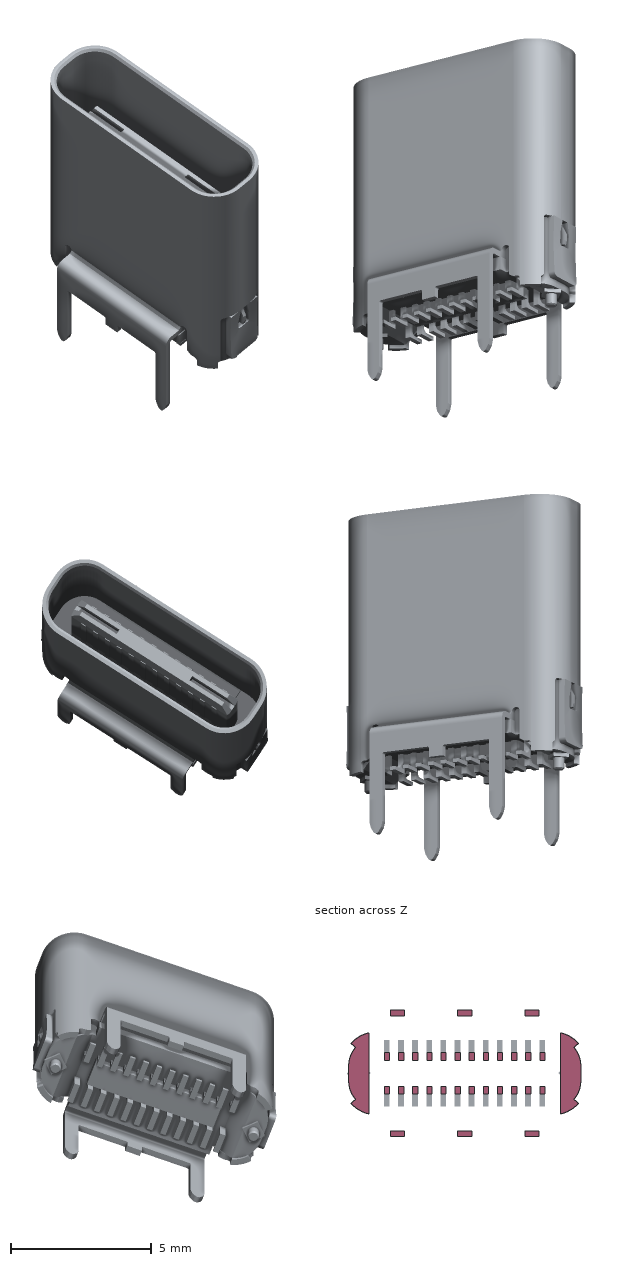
import cadquery as cq
import math


top = 11.94
shell_length = 8.69
shell_depth = 2.96
wall = 0.21
corner_radius = 1.22
rim_chamfer = 0.08
shell_bottom = 2.55
side_bottom = 2.94
inner_length = shell_length - 2 * wall
inner_depth = shell_depth - 2 * wall
inner_radius = corner_radius - wall

foot_inner_x = 3.39
foot_round = 0.12
notch_x = 2.95
notch_chamfer_x = 0.18
notch_chamfer_z = 0.11
relief_top = 4.2

strap_half = 2.64
overall_depth = 4.5
strap_outer_y = overall_depth / 2
strap_top = 3.96
strap_bottom = 2.94
bend_radius = 0.29
strap_root = 0.1
strap_reach = strap_outer_y + wall
leg_width = 0.51
leg_tip_height = 0.43
leg_shoulder_half = 0.2
leg_tip_half = 0.1
leg_tip_rise = 0.05
tab_half = 0.27
strap_fillet = 0.06

window_width = 1.97
window_half = window_width / 2
window_top = 5.24
window_fillet = 0.11
window_flare = 0.078
window_flare_chamfer = 0.07
overall_length = 8.74
flap_width = 1.37
flap_half = flap_width / 2
flap_bottom = 2.95
flap_corner = 0.17
flap_recess = 0.05
latch_hole_bottom = 4.26
latch_hole_half = 0.27
latch_hole_top_half = 0.15
latch_hole_taper_z = 4.72
latch_rib_width = 0.13
latch_rib_bottom = 4.35
latch_rib_top = 4.76
latch_rib_nose_height = 0.15
latch_rib_nose_setback = 0.04
latch_hole_fillet = 0.07

floor_z = 5.73
end_bottom = 2.69
middle_bottom = 3.26
pad_half_x = 2.67
pad_half_y = 1.61
bar_half_x = 2.39
bar_half_y = 0.45
bar_bottom = 2.88
floor_pad_half_x = 2.84
floor_pad_inner_y = 0.62
floor_pad_outer_y = 1.18
floor_pad_height = 0.18
floor_ledge_height = 0.08

post_x = 3.75
post_diameter = 0.4
post_bottom = 2.14
post_chamfer = 0.05
post_base_half = 0.42

tongue_length = 6.66
collar_thickness = 1.04
collar_height = 0.72
collar_corner = 0.35
tongue_thickness = 0.7
tongue_tip = 10.18
tip_chamfer_x = 0.32
tip_chamfer_y = 0.11
tip_chamfer_z = 0.6
groove_inner_x = 1.54
groove_width = 0.18
groove_depth = tip_chamfer_z
groove_floor = tongue_tip - groove_depth

contact_count = 12
contact_pitch = 0.5
contact_width = 0.2
contact_height = 0.02
contact_end_gap = 0.6
tail_inner_y = 0.45
tail_outer_y = 1.18
tail_thickness = 0.13
tail_bend = 0.18


def box(x0, x1, y0, y1, z0, z1):
    return cq.Workplane("XY").box(x1 - x0, y1 - y0, z1 - z0, centered=False).translate((x0, y0, z0))


def rounded_bar(length, depth, radius, z0, z1):
    """Upright bar with rounded vertical corners."""
    bar = cq.Workplane("XY").workplane(offset=z0).rect(length, depth).extrude(z1 - z0)
    return bar.edges("|Z").fillet(radius)


def both_sides(shape, plane):
    """A shape joined with its mirror image about a middle plane."""
    return shape.union(shape.mirror(plane))


def notch_profile():
    """Notch outline: a full-width opening, with a round-topped relief slot at each end of the strap."""
    relief_radius = (notch_x - strap_half) / 2
    relief_mid = notch_x - relief_radius
    relief_spring = relief_top - relief_radius
    round_mid = foot_round * (1 - math.sqrt(0.5))
    half = (
        cq.Workplane("XZ")
        .moveTo(0, shell_bottom)
        .lineTo(foot_inner_x, shell_bottom)
        .lineTo(foot_inner_x, side_bottom - foot_round)
        .threePointArc(
            (foot_inner_x - round_mid, side_bottom - round_mid),
            (foot_inner_x - foot_round, side_bottom),
        )
        .lineTo(notch_x + notch_chamfer_x, side_bottom)
        .lineTo(notch_x, side_bottom + notch_chamfer_z)
        .lineTo(notch_x, relief_spring)
        .threePointArc((relief_mid, relief_top), (strap_half, relief_spring))
        .lineTo(strap_half, strap_top - wall)
        .lineTo(0, strap_top - wall)
        .close()
        .extrude(shell_depth / 2, both=True)
    )
    return both_sides(half, "YZ")


def window_wedge(half_width, z_top):
    """Wedge from the arc centres of the -X end, so that its sides cross the shell wall squarely."""
    centre_x = shell_length / 2 - corner_radius
    centre_y = shell_depth / 2 - corner_radius
    rise = half_width - centre_y
    run = math.sqrt(corner_radius**2 - rise**2)
    far_x = centre_x + 2 * run
    far_y = centre_y + 2 * rise
    return (
        cq.Workplane("XY")
        .workplane(offset=shell_bottom)
        .polyline([(-centre_x, -centre_y), (-far_x, -far_y), (-far_x, far_y), (-centre_x, centre_y)])
        .close()
        .extrude(z_top - shell_bottom)
    )


def side_window():
    """Opening through the -X end of the shell, wider at its lower edge."""
    opening = window_wedge(window_half, window_top)
    opening = opening.faces(">Z").edges("not(|Y)").fillet(window_fillet)
    flare = window_wedge(window_half + window_flare, side_bottom)
    return opening.union(flare.faces(">Z").edges("not(|Y)").chamfer(window_flare_chamfer))


def make_shell():
    outside = rounded_bar(shell_length, shell_depth, corner_radius, shell_bottom, top)
    inside = rounded_bar(inner_length, inner_depth, inner_radius, shell_bottom, top)
    tube = outside.cut(inside)
    mouth_edges = tube.faces(">Z").wires(cq.selectors.AreaNthSelector(0))
    tube = mouth_edges.chamfer(rim_chamfer)
    return tube.cut(notch_profile()).cut(both_sides(side_window(), "YZ"))


def make_flap():
    """Spring flap of the -X window: a slightly bowed plate with a latch hole."""
    lip_x = overall_length / 2
    plate_x = lip_x - flap_recess
    plate = (
        cq.Workplane("XZ")
        .moveTo(-plate_x + wall, window_top)
        .lineTo(-shell_length / 2, window_top)
        .threePointArc((-plate_x, (window_top + flap_bottom) / 2), (-lip_x, flap_bottom))
        .lineTo(-plate_x + wall, flap_bottom)
        .close()
        .extrude(flap_half, both=True)
    )
    plate = plate.edges("|X and <Z").fillet(flap_corner)
    latch_hole = (
        cq.Workplane("YZ")
        .polyline([
            (-latch_hole_half, latch_hole_bottom),
            (latch_hole_half, latch_hole_bottom),
            (latch_hole_half, latch_hole_taper_z),
            (latch_hole_top_half, window_top),
            (-latch_hole_top_half, window_top),
            (-latch_hole_half, latch_hole_taper_z),
        ])
        .close()
        .extrude(-shell_length)
    )
    latch_hole = latch_hole.edges("|X and <Z").fillet(latch_hole_fillet)
    rib_half = latch_rib_width / 2
    rib_back = inner_length / 2 - wall
    rib = (
        cq.Workplane("XZ")
        .polyline([
            (-rib_back, latch_rib_bottom),
            (latch_rib_nose_setback - lip_x, latch_rib_bottom),
            (-lip_x, latch_rib_bottom + latch_rib_nose_height),
            (-lip_x, latch_rib_top),
            (-inner_length / 2, window_top),
            (-rib_back, window_top),
        ])
        .close()
        .extrude(rib_half, both=True)
    )
    return plate.cut(latch_hole).union(rib)


def make_leg():
    """Pointed leg on the +X side, extruded through the depth of the strap."""
    leg_mid = strap_half - leg_width / 2
    half = leg_width / 2
    return (
        cq.Workplane("XZ")
        .moveTo(leg_mid - half, strap_bottom)
        .lineTo(leg_mid - half, leg_tip_height)
        .lineTo(leg_mid - leg_shoulder_half, leg_tip_height / 2)
        .lineTo(leg_mid - leg_tip_half, leg_tip_rise)
        .threePointArc((leg_mid, 0), (leg_mid + leg_tip_half, leg_tip_rise))
        .lineTo(leg_mid + leg_shoulder_half, leg_tip_height / 2)
        .lineTo(leg_mid + half, leg_tip_height)
        .lineTo(leg_mid + half, strap_bottom)
        .close()
        .extrude(strap_reach)
    )


def make_strap():
    """Strap on the -Y side: bent plate carrying two pointed legs and a middle tab."""
    root_y = shell_depth / 2
    bent = (
        cq.Workplane("YZ")
        .polyline([
            (-inner_depth / 2, strap_top - wall),
            (-strap_outer_y + wall, strap_top - wall),
            (-strap_outer_y + wall, 0),
            (-strap_outer_y, 0),
            (-strap_outer_y, strap_top),
            (-root_y - strap_root, strap_top),
            (-root_y, strap_top + strap_root),
            (-inner_depth / 2, strap_top + strap_root),
        ])
        .close()
        .extrude(strap_half, both=True)
    )
    outer_bend = cq.selectors.NearestToPointSelector((0, -strap_outer_y, strap_top))
    inner_bend = cq.selectors.NearestToPointSelector((0, -strap_outer_y + wall, strap_top - wall))
    bent = bent.edges("|X").edges(outer_bend).fillet(bend_radius)
    bent = bent.edges("|X").edges(inner_bend).fillet(bend_radius - wall)

    upper = box(-strap_half, strap_half, -strap_reach, 0, strap_bottom, relief_top)
    middle_tab = box(-tab_half, tab_half, -strap_reach, 0, shell_bottom, strap_bottom)
    outline = upper.union(middle_tab).union(both_sides(make_leg(), "YZ"))
    for corner_x in (strap_half - leg_width, tab_half):
        for side in (-1, 1):
            corner = cq.selectors.NearestToPointSelector((side * corner_x, -strap_reach / 2, strap_bottom))
            outline = outline.edges("|Y").edges(corner).fillet(strap_fillet)
    return bent.intersect(outline)


def make_housing():
    body = rounded_bar(inner_length, inner_depth, inner_radius, end_bottom, floor_z)
    slope_run = middle_bottom - end_bottom
    underside = (
        cq.Workplane("XZ")
        .polyline([
            (-foot_inner_x, end_bottom),
            (foot_inner_x, end_bottom),
            (foot_inner_x - slope_run, middle_bottom),
            (slope_run - foot_inner_x, middle_bottom),
        ])
        .close()
        .extrude(shell_depth, both=True)
    )
    body = body.cut(underside)
    pad = box(-pad_half_x, pad_half_x, -pad_half_y, pad_half_y, middle_bottom, strap_top - wall)
    bar = box(-bar_half_x, bar_half_x, -bar_half_y, bar_half_y, bar_bottom, middle_bottom)
    floor_pad = (
        cq.Workplane("YZ")
        .polyline([
            (0, floor_z),
            (0, floor_z + floor_ledge_height),
            (floor_pad_inner_y, floor_z + floor_ledge_height),
            (floor_pad_inner_y, floor_z + floor_pad_height),
            (floor_pad_outer_y, floor_z + floor_pad_height),
            (inner_depth / 2, floor_z),
        ])
        .close()
        .extrude(floor_pad_half_x, both=True)
    )
    return body.union(pad).union(bar).union(both_sides(floor_pad, "XZ"))


def make_post():
    """Round post on a diamond-shaped base, at the -X end."""
    post = cq.Workplane("XY").workplane(offset=post_bottom).circle(post_diameter / 2)
    post = post.extrude(middle_bottom - post_bottom).faces("<Z").chamfer(post_chamfer)
    base_side = post_base_half * math.sqrt(2)
    base = cq.Workplane("XY").workplane(offset=shell_bottom).rect(base_side, base_side)
    base = base.extrude(end_bottom - shell_bottom).rotate((0, 0, 0), (0, 0, 1), 45)
    return post.union(base).translate((-post_x, 0, 0))


def make_tongue():
    """Tongue with a sloped collar at its root and a bevelled tip with two grooves."""
    half_x = tongue_length / 2
    half_y = tongue_thickness / 2
    bevel_start = tongue_tip - tip_chamfer_z
    block = rounded_bar(tongue_length, collar_thickness, collar_corner, floor_z, tongue_tip)
    side_profile = (
        cq.Workplane("YZ")
        .polyline([
            (0, floor_z),
            (collar_thickness / 2, floor_z),
            (collar_thickness / 2, floor_z + floor_ledge_height),
            (half_y, floor_z + collar_height),
            (half_y, bevel_start),
            (half_y - tip_chamfer_y, tongue_tip),
            (0, tongue_tip),
        ])
        .close()
        .extrude(half_x, both=True)
    )
    end_bevel = (
        cq.Workplane("XZ")
        .polyline([(half_x - tip_chamfer_x, tongue_tip), (half_x, tongue_tip), (half_x, bevel_start)])
        .close()
        .extrude(collar_thickness, both=True)
    )
    groove = box(groove_inner_x, half_x, -groove_width / 2, groove_width / 2, groove_floor, tongue_tip)
    tongue = block.intersect(both_sides(side_profile, "XZ"))
    return tongue.cut(both_sides(end_bevel.union(groove), "YZ"))


def make_contact():
    """One strip on the +Y face of the tongue, centred on X = 0."""
    half = contact_width / 2
    outer_y = tongue_thickness / 2 + contact_height
    return box(-half, half, 0, outer_y, floor_z, tongue_tip - contact_end_gap)


def make_tail():
    """One L-shaped solder tail on the +Y side, centred on X = 0."""
    shank_outer_y = tail_inner_y + tail_thickness
    foot_top = shell_bottom + tail_thickness
    tail = (
        cq.Workplane("YZ")
        .polyline([
            (tail_inner_y, shell_bottom),
            (tail_outer_y, shell_bottom),
            (tail_outer_y, foot_top),
            (shank_outer_y, foot_top),
            (shank_outer_y, middle_bottom),
            (tail_inner_y, middle_bottom),
        ])
        .close()
        .extrude(contact_width / 2, both=True)
    )
    bend = cq.selectors.NearestToPointSelector((0, shank_outer_y, foot_top))
    return tail.edges("|X").edges(bend).fillet(tail_bend)


result = make_shell().union(make_housing())
result = result.union(both_sides(make_flap(), "YZ"))
result = result.union(both_sides(make_strap(), "XZ"))
result = result.union(both_sides(make_post(), "YZ"))
result = result.union(make_tongue())

contact_pair = both_sides(make_contact().union(make_tail()), "XZ")
for index in range(contact_count):
    contact_x = (index - (contact_count - 1) / 2) * contact_pitch
    result = result.union(contact_pair.translate((contact_x, 0, 0)))